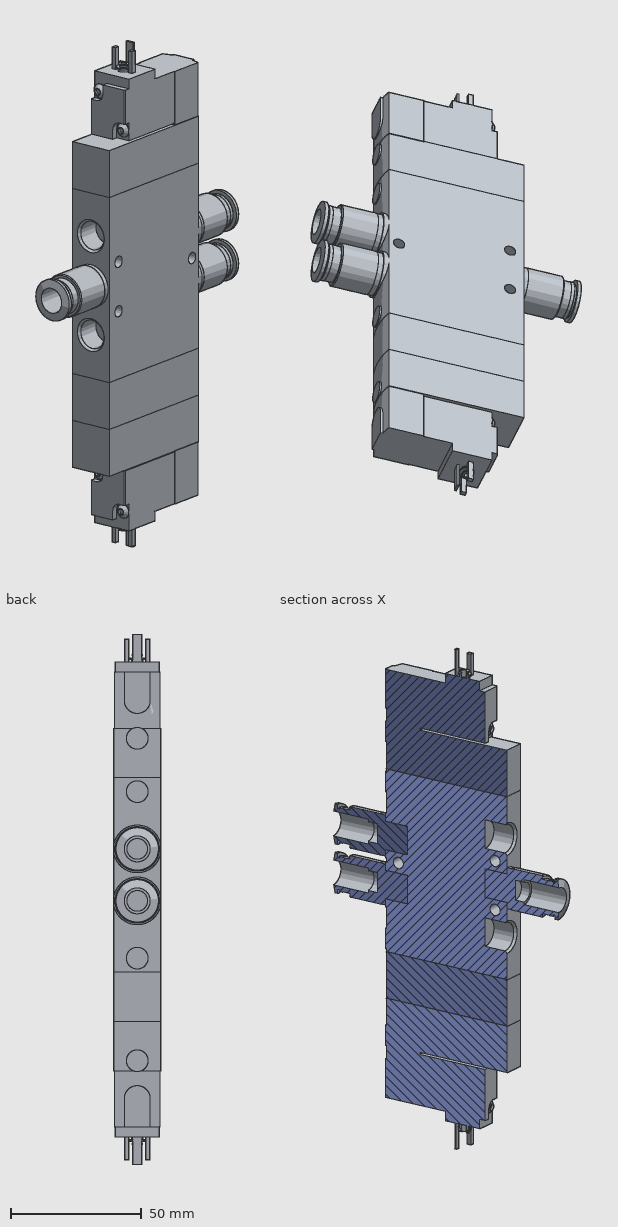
import cadquery as cq
import math


width = 18.0
front_y = -28.5
back_edge_y = 26.4
back_bulge = 1.6
back_crown_y = back_edge_y + back_bulge
pad_top_y = 28.5

stack_half = 65.5
block_length = 18.9
housing_top_z = stack_half - block_length
spacer_bottom_z = -housing_top_z
spacer_top_z = spacer_bottom_z + block_length
housing_mid_z = (housing_top_z + spacer_top_z) / 2

port_diameter = 11.4
port_rim_diameter = 13.2
port_depth = 10.2
port_pitch = 19.9
work_port_offset = port_pitch / 2
work_boss_diameter = 18.3
cross_hole_diameter = 4.5
cross_hole_inset = 5.7

button_diameter = 8.3
housing_button_offset = 31.9
block_button_z = 61.7

fitting_base_diameter = 16.8
fitting_diameter = 17.0
fitting_chamfer = 0.5
fitting_neck_diameter = 14.2
fitting_collar_diameter = 14.5
fitting_groove_diameter = 13.2
fitting_flange_diameter = 16.5
fitting_socket_diameter = 10.0
fitting_bore_diameter = 8.0
fitting_base_end = 2.0
fitting_body_end = 16.6
fitting_neck_end = 19.9
fitting_collar_end = 21.3
fitting_groove_end = 22.1
fitting_flange_end = 23.5
fitting_length = 24.2
fitting_socket_depth = 16.2
fitting_bore_depth = 20.3

solenoid_top_z = 87.0
cover_width = 17.5
cover_front_y = 12.2
coil_width = 16.8
coil_front_y = -18.0
coil_gap = 0.6
coil_edge_chamfer = 0.5
cap_back_y = 0.5
cap_front_y = -15.6
cap_top_z = 91.0
back_plate_width = 10.0
back_plate_length = 15.8

screw_x = 5.7
upper_screw_z = 83.5
lower_screw_z = 70.0
screw_pocket_diameter = 6.5
screw_head_diameter = 5.7
screw_head_front_y = -17.3
screw_head_chamfer = 1.5
screw_socket_diameter = 2.5
screw_socket_depth = 1.0

blade_y = -4.3
blade_width = 3.5
blade_thickness = 0.8
blade_tip_z = 101.5
prong_x = 4.0
prong_y = -8.3
prong_thickness = 1.6
prong_depth = 2.0
prong_tip_z = 99.7
post_neck_diameter = 4.5
post_flange_diameter = 5.7
post_shaft_diameter = 3.2
post_disc_diameter = 4.0
post_bore_diameter = 2.0
post_neck_height = 1.0
post_flange_height = 0.6
post_shaft_height = 0.8
post_disc_height = 0.5


def box_between(x_range, y_range, z_range):
    """Box given by its lower and upper limits along each axis."""
    corner = (x_range[0], y_range[0], z_range[0])
    size = [upper - lower for lower, upper in (x_range, y_range, z_range)]
    return cq.Workplane("XY").box(*size, centered=False).translate(corner)


def centered(length):
    """Limits of a length centred on zero."""
    return (-length / 2, length / 2)


def y_cylinder(diameter, x, z, y_range):
    """Cylinder along Y between two Y limits."""
    length = y_range[1] - y_range[0]
    axis_plane = cq.Plane(origin=(x, y_range[0], z), xDir=(1, 0, 0), normal=(0, 1, 0))
    return cq.Workplane(axis_plane).circle(diameter / 2).extrude(length)


def bulged_block(block_width, block_front_y, bottom_z, top_z):
    """Block with a flat front and a back that bulges to the crown."""
    side_x = block_width / 2
    return (
        cq.Workplane("XY", origin=(0, 0, bottom_z))
        .moveTo(-side_x, block_front_y)
        .lineTo(side_x, block_front_y)
        .lineTo(side_x, back_edge_y)
        .threePointArc((0, back_crown_y), (-side_x, back_edge_y))
        .close()
        .extrude(top_z - bottom_z)
    )


def back_button(z):
    """Round button standing slightly proud of the bulged back."""
    return y_cylinder(button_diameter, 0, z, (cover_front_y, pad_top_y))


def work_boss(z):
    """Flat seat for a work fitting, cut off flush with the valve sides."""
    boss = y_cylinder(work_boss_diameter, 0, z, (cover_front_y, pad_top_y))
    side_limits = box_between(
        centered(width),
        (cover_front_y, pad_top_y),
        (z - work_boss_diameter, z + work_boss_diameter),
    )
    return boss.intersect(side_limits)


def port_cut(z):
    """Blind port in the front face with a chamfered rim."""
    bore_radius = port_diameter / 2
    rim_radius = port_rim_diameter / 2
    chamfer_end = rim_radius - bore_radius
    half_section = [
        (0, 0),
        (rim_radius, 0),
        (bore_radius, chamfer_end),
        (bore_radius, port_depth),
        (0, port_depth),
    ]
    cutter = cq.Workplane("XY").polyline(half_section).close().revolve(360, (0, 0, 0), (0, 1, 0))
    return cutter.translate((0, front_y, z))


work_port_heights = [housing_mid_z - work_port_offset, housing_mid_z + work_port_offset]
exhaust_port_heights = [housing_mid_z - port_pitch, housing_mid_z + port_pitch]


def make_housing():
    housing = bulged_block(width, front_y, spacer_top_z, housing_top_z)

    for side in (-1, 1):
        housing = housing.union(back_button(housing_mid_z + side * housing_button_offset))
    for z in work_port_heights:
        housing = housing.union(work_boss(z))

    for z in work_port_heights:
        housing = housing.cut(y_cylinder(port_diameter, 0, z, (pad_top_y - port_depth, pad_top_y)))
    supply_range = (front_y, front_y + port_depth)
    housing = housing.cut(y_cylinder(port_diameter, 0, housing_mid_z, supply_range))
    for z in exhaust_port_heights:
        housing = housing.cut(port_cut(z))

    hole_places = [(back_crown_y - cross_hole_inset, housing_mid_z)]
    hole_places += [(front_y + cross_hole_inset, z) for z in work_port_heights]
    cross_holes = (
        cq.Workplane("YZ")
        .pushPoints(hole_places)
        .circle(cross_hole_diameter / 2)
        .extrude(width, both=True)
    )
    return housing.cut(cross_holes)


def make_spacer():
    return bulged_block(width, front_y, spacer_bottom_z, spacer_top_z)


def make_fitting():
    """Fitting pointing along +Y, seated at the origin, its stub filling a port."""
    stub_radius = port_diameter / 2
    base_radius = fitting_base_diameter / 2
    body_radius = fitting_diameter / 2
    neck_radius = fitting_neck_diameter / 2
    collar_radius = fitting_collar_diameter / 2
    groove_radius = fitting_groove_diameter / 2
    flange_radius = fitting_flange_diameter / 2
    socket_radius = fitting_socket_diameter / 2
    socket_end = fitting_length - fitting_socket_depth
    bore_radius = fitting_bore_diameter / 2
    bore_end = fitting_length - fitting_bore_depth
    half_section = [
        (0, -port_depth),
        (stub_radius, -port_depth),
        (stub_radius, 0),
        (base_radius, 0),
        (base_radius, fitting_base_end),
        (body_radius, fitting_base_end),
        (body_radius, fitting_body_end - fitting_chamfer),
        (body_radius - fitting_chamfer, fitting_body_end),
        (neck_radius, fitting_body_end),
        (neck_radius, fitting_neck_end),
        (collar_radius, fitting_neck_end),
        (collar_radius, fitting_collar_end),
        (groove_radius, fitting_collar_end),
        (groove_radius, fitting_groove_end),
        (flange_radius, fitting_groove_end),
        (flange_radius, fitting_flange_end),
        (socket_radius, fitting_length),
        (socket_radius, socket_end),
        (bore_radius, socket_end),
        (bore_radius, bore_end),
        (0, bore_end),
    ]
    return cq.Workplane("XY").polyline(half_section).close().revolve(360, (0, 0, 0), (0, 1, 0))


def screw_pocket(side, screw_z, corner_z):
    """Round pocket in the coil front, opened out to the nearest corner of the coil."""
    y_range = (coil_front_y, cap_front_y)
    x = side * screw_x
    inner_x = x - side * screw_pocket_diameter / 2
    outer_x = side * width / 2
    middle_z = screw_z + math.copysign(screw_pocket_diameter / 2, screw_z - corner_z)
    pocket = y_cylinder(screw_pocket_diameter, x, screw_z, y_range)
    side_opening = box_between(sorted((x, outer_x)), y_range, sorted((middle_z, corner_z)))
    end_opening = box_between(sorted((inner_x, outer_x)), y_range, sorted((screw_z, corner_z)))
    return pocket.union(side_opening).union(end_opening)


def screw_head(side, z):
    """Chamfered screw head with a round socket."""
    head = y_cylinder(screw_head_diameter, side * screw_x, z, (screw_head_front_y, cap_front_y))
    head = head.faces("<Y").chamfer(screw_head_chamfer)
    socket_range = (screw_head_front_y, screw_head_front_y + screw_socket_depth)
    return head.cut(y_cylinder(screw_socket_diameter, side * screw_x, z, socket_range))


def make_coil():
    bottom_z = stack_half + coil_gap
    coil_limits = box_between(
        centered(coil_width), (coil_front_y, cover_front_y), (bottom_z, solenoid_top_z)
    )
    coil = coil_limits.faces("<Y").edges("|Z").chamfer(coil_edge_chamfer)
    cap = box_between(centered(coil_width), (cap_front_y, cap_back_y), (bottom_z, cap_top_z))
    coil = coil.union(cap)

    coil = coil.cut(screw_pocket(-1, upper_screw_z, solenoid_top_z))
    coil = coil.cut(screw_pocket(1, lower_screw_z, bottom_z))
    for side, z in ((-1, upper_screw_z), (1, lower_screw_z)):
        coil = coil.union(screw_head(side, z).intersect(coil_limits))
    return coil


def make_contacts():
    """Flat blade, two prongs and the stepped, bored post between the prongs."""
    blade_y_range = (blade_y - blade_thickness / 2, blade_y + blade_thickness / 2)
    contacts = box_between(centered(blade_width), blade_y_range, (cap_top_z, blade_tip_z))

    prong_y_range = (prong_y - prong_depth / 2, prong_y + prong_depth / 2)
    for x in (-prong_x, prong_x):
        prong_x_range = (x - prong_thickness / 2, x + prong_thickness / 2)
        contacts = contacts.union(box_between(prong_x_range, prong_y_range, (cap_top_z, prong_tip_z)))

    post_steps = [
        (post_neck_diameter, post_neck_height),
        (post_flange_diameter, post_flange_height),
        (post_shaft_diameter, post_shaft_height),
        (post_disc_diameter, post_disc_height),
    ]
    step_z = cap_top_z
    for diameter, height in post_steps:
        step = cq.Workplane("XY", origin=(0, prong_y, step_z)).circle(diameter / 2).extrude(height)
        contacts = contacts.union(step)
        step_z += height
    bore = cq.Workplane("XY", origin=(0, prong_y, cap_top_z)).circle(post_bore_diameter / 2)
    return contacts.cut(bore.extrude(step_z - cap_top_z))


def make_back_plate():
    """Raised plate on the solenoid back with a rounded lower end."""
    radius = back_plate_width / 2
    round_z = solenoid_top_z - back_plate_length + radius
    straight = box_between(
        centered(back_plate_width), (cover_front_y, pad_top_y), (round_z, solenoid_top_z)
    )
    round_end = y_cylinder(back_plate_width, 0, round_z, (cover_front_y, pad_top_y))
    return straight.union(round_end)


def make_end_unit():
    """Upper end unit: end block with its solenoid."""
    unit = bulged_block(width, front_y, housing_top_z, stack_half)
    unit = unit.union(back_button(block_button_z))
    unit = unit.union(bulged_block(cover_width, cover_front_y, stack_half, solenoid_top_z))
    unit = unit.union(make_back_plate())
    unit = unit.union(make_coil())
    return unit.union(make_contacts())


housing = make_housing()
spacer = make_spacer()

end_units = [make_end_unit().rotate((0, 0, 0), (0, 1, 0), turn) for turn in (0, 180)]

work_fittings = [make_fitting().translate((0, pad_top_y, z)) for z in work_port_heights]
supply_fitting = (
    make_fitting().rotate((0, 0, 0), (0, 0, 1), 180).translate((0, front_y, housing_mid_z))
)

bodies = [housing, spacer, *end_units, *work_fittings, supply_fitting]
result = cq.Compound.makeCompound([body.val() for body in bodies])